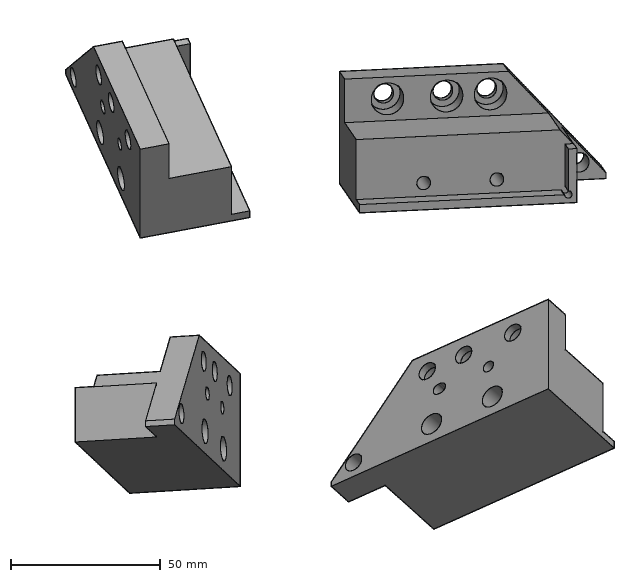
import cadquery as cq
import math

length = 88.8
depth = 38.2
height = 38.8

plate_thickness = 10.0
toe_height = 1.95
slope_run = 33.2

block_left = 15.0
block_back = 31.8
block_height = 23.7
ledge_wall = 2.9
ledge_floor = ledge_wall
ledge_wall_height = 18.7
relief_radius = 1.2

clearance_diameter = 6.7
upper_hole_z = 31.25
upper_hole_xs = (39.2, 54.2, 74.2)
rear_counterbore_diameter = 11.0
rear_counterbore_depth = 7.0
toe_hole_x = 9.1
toe_hole_z = 6.0

bolt_diameter = 4.6
bolt_head_diameter = 8.2
bolt_head_depth = plate_thickness
bolt_xs = (41.0, 65.9)
bolt_z = 7.55

dowel_diameter = 4.2
dowel_slot_length = 5.0
dowel_depth = plate_thickness
dowel_x = 64.3
dowel_slot_x = 44.2
dowel_z = 21.3
drill_point_angle = 118.0


def front_sketch(y=0.0):
    """Workplane at depth y with local axes X and Z; extruding a negative distance goes towards +Y."""
    return cq.Workplane("XZ", origin=(0, y, 0))


def cylinder(x, z, diameter, distance, y=0.0):
    """Cylinder running from depth y towards +Y."""
    return front_sketch(y).center(x, z).circle(diameter / 2).extrude(-distance)


def sloped_profile(thickness):
    """Plate outline with its upper left corner cut away, extruded from the front face."""
    outline = [(0, 0), (length, 0), (length, height), (slope_run, height), (0, toe_height)]
    return front_sketch().polyline(outline).close().extrude(-thickness)


def block():
    """Rear block whose upper left corner follows the slope of the plate."""
    envelope = cq.Workplane("XY").box(length - block_left, block_back, block_height, centered=False)
    return sloped_profile(block_back).intersect(envelope.translate((block_left, 0, 0)))


def ledge():
    """L-shaped rear ledge: an end wall and a low floor, with a round relief at the inner corner."""
    wall_right = block_left + ledge_wall
    profile = (
        front_sketch(block_back)
        .moveTo(block_left, 0)
        .lineTo(length, 0)
        .lineTo(length, ledge_floor)
        .lineTo(wall_right, ledge_floor)
        .lineTo(wall_right, ledge_wall_height)
        .lineTo(block_left, ledge_wall_height)
        .close()
    )
    strip_width = depth - block_back
    relief = front_sketch(block_back).center(wall_right, ledge_floor).circle(relief_radius)
    return profile.extrude(-strip_width).cut(relief.extrude(-strip_width))


def dowel_hole():
    """Blind round hole ending in a conical drill point."""
    radius = dowel_diameter / 2
    point_depth = radius / math.tan(math.radians(drill_point_angle / 2))
    point = cq.Solid.makeCone(
        radius, 0, point_depth, pnt=cq.Vector(dowel_x, dowel_depth, dowel_z), dir=cq.Vector(0, 1, 0)
    )
    return cylinder(dowel_x, dowel_z, dowel_diameter, dowel_depth).union(cq.Workplane(point))


def dowel_slot():
    """Blind flat-bottomed slot, elongated along X."""
    sketch = front_sketch().center(dowel_slot_x, dowel_z)
    return sketch.slot2D(dowel_slot_length, dowel_diameter).extrude(-dowel_depth)


result = sloped_profile(plate_thickness).union(block()).union(ledge())

clearance_centres = [(x, upper_hole_z) for x in upper_hole_xs] + [(toe_hole_x, toe_hole_z)]
for x, z in clearance_centres:
    result = result.cut(cylinder(x, z, clearance_diameter, plate_thickness))

rear_counterbore_start = plate_thickness - rear_counterbore_depth
for x in upper_hole_xs:
    counterbore = cylinder(
        x, upper_hole_z, rear_counterbore_diameter, rear_counterbore_depth, rear_counterbore_start
    )
    result = result.cut(counterbore)

for x in bolt_xs:
    result = result.cut(cylinder(x, bolt_z, bolt_diameter, depth))
    result = result.cut(cylinder(x, bolt_z, bolt_head_diameter, bolt_head_depth))

result = result.cut(dowel_hole()).cut(dowel_slot())